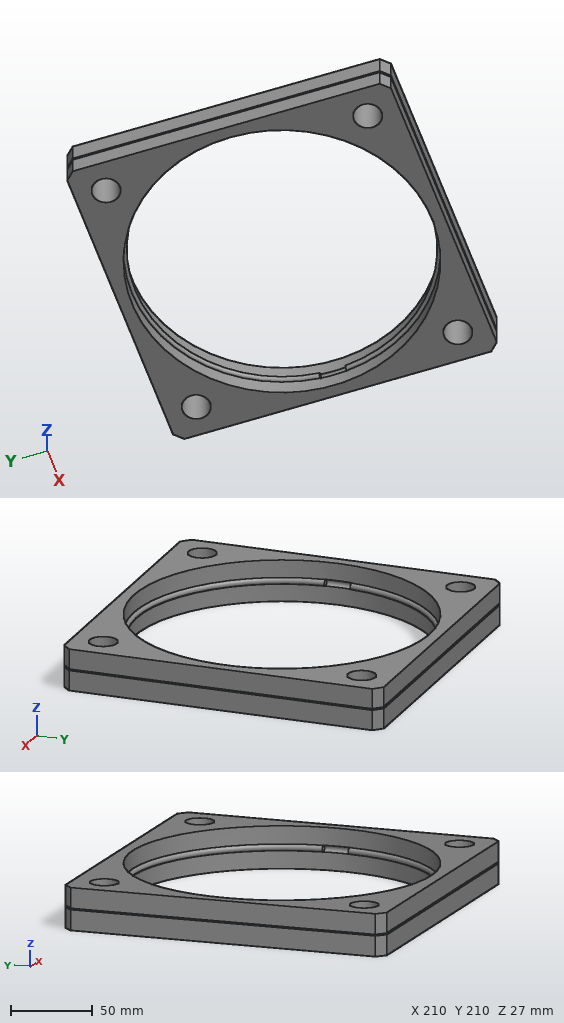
import cadquery as cq

side = 210.0
height = 27.0
corner_cut = 5.5
bore_radius = 97.2

bolt_spacing = 169.7
bolt_diameter = 17.8

groove_width = 0.8
groove_depth = 0.5

ring_section_radius = 2.0
ring_gap = 17.0


def square_block(width, thickness):
    """Square block centred on the origin with its vertical edges chamfered."""
    return cq.Workplane("XY").box(width, width, thickness).edges("|Z").chamfer(corner_cut)


def make_frame():
    """Square frame with the large bore and four bolt holes."""
    return (
        square_block(side, height)
        .faces(">Z").workplane()
        .hole(2 * bore_radius)
        .faces(">Z").workplane()
        .rect(bolt_spacing, bolt_spacing, forConstruction=True).vertices()
        .hole(bolt_diameter)
    )


def make_outer_groove():
    """Thin square band that is cut out of the outer walls."""
    core = square_block(side - 2 * groove_depth, groove_width)
    return square_block(side, groove_width).cut(core)


def make_ring():
    """Full round ring whose section is centred on the bore wall."""
    return cq.Workplane("XY").add(cq.Solid.makeTorus(bore_radius, ring_section_radius))


def make_ring_gap():
    """Bar along X that marks where the ring is missing on both sides."""
    return cq.Workplane("XY").box(side, ring_gap, height)


ring = make_ring()
ring_gaps = make_ring_gap()
seat = ring.intersect(ring_gaps)
ridge = ring.cut(ring_gaps)
result = make_frame().cut(make_outer_groove()).cut(seat).union(ridge)